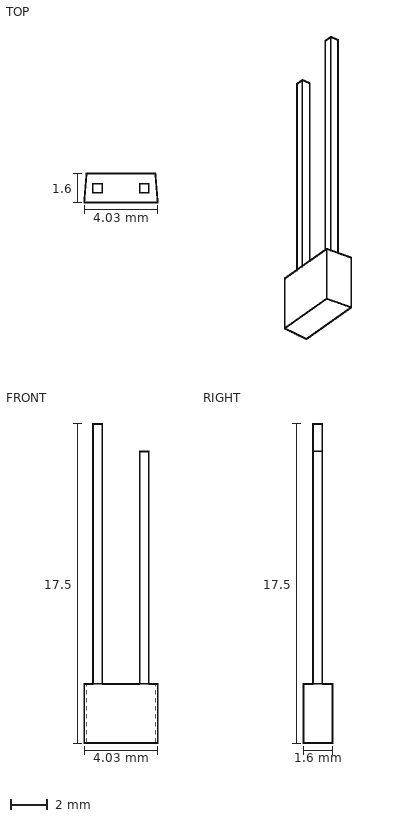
import cadquery as cq

front_width = 4.03
back_width = 3.77
body_depth = 1.6
body_height = 3.25

total_height = 17.46
short_lead_drop = 1.5
lead_side = 0.5
lead_pitch = 2.55
lead_offset_y = -0.02


def make_body():
    front_y = -body_depth / 2
    back_y = body_depth / 2
    outline = [
        (-front_width / 2, front_y),
        (front_width / 2, front_y),
        (back_width / 2, back_y),
        (-back_width / 2, back_y),
    ]
    return cq.Workplane("XY").polyline(outline).close().extrude(body_height)


def make_lead(center_x, tip_z):
    return (
        cq.Workplane("XY", origin=(center_x, lead_offset_y, body_height))
        .rect(lead_side, lead_side)
        .extrude(tip_z - body_height)
    )


long_lead = make_lead(-lead_pitch / 2, total_height)
short_lead = make_lead(lead_pitch / 2, total_height - short_lead_drop)
result = make_body().union(long_lead).union(short_lead)